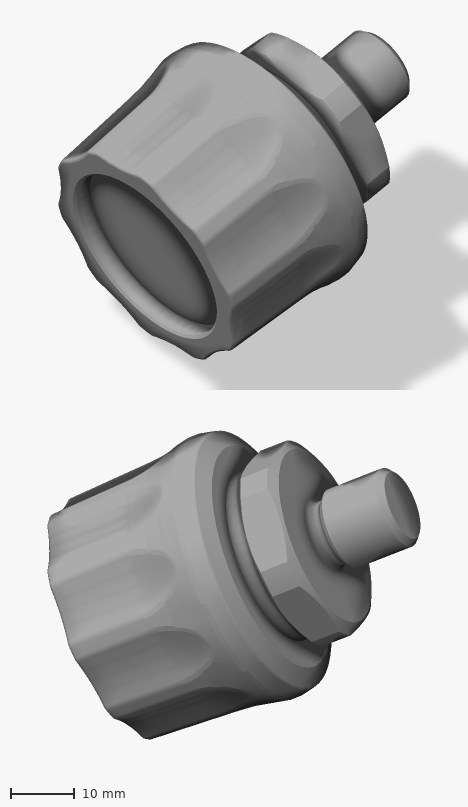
import cadquery as cq
import math


GRIP_FRONT_RADIUS = 20.0
GRIP_TAPER = 3.0
GRIP_LENGTH = 18.4
RIM_CORNER_RADIUS = 22.14
RIM_CORNER_Y = 24.7
RIM_ROUND = 2.4
SHOULDER_RADIUS = 21.5
SHOULDER_Y = 27.85
SHOULDER_ROUND = 0.5
KNOB_REAR_RADIUS = 18.5
KNOB_LENGTH = 29.45
FRONT_EDGE_ROUND = 0.5
GRIP_REAR_RADIUS = GRIP_FRONT_RADIUS + GRIP_LENGTH * math.tan(math.radians(GRIP_TAPER))

RECESS_RADIUS = 15.4
RECESS_DEPTH = 3.3
RECESS_CHAMFER = 0.4

SCALLOP_COUNT = 10
SCALLOP_BEND_Y = 13.9
SCALLOP_FLOOR_RADIUS = 19.45
SCALLOP_DRAFT = 2.5
SCALLOP_TROUGH_RADIUS = 20.0
SCALLOP_RUNOUT_RADIUS = 19.7
SCALLOP_RUNOUT_ANGLE = 45.0
SCALLOP_CUT_HEIGHT = 5.0
SCALLOP_EDGE_ROUND = 2.0

CUT_MARGIN = 5.0

COLLAR_RADIUS = 28.2 / 2
HEX_FRONT_Y = 32.15
HEX_REAR_Y = 39.2
HEX_ACROSS_FLATS = 30.0
HEX_CORNER_RADIUS = 16.2
HEX_CHAMFER_LENGTH = 1.1
HEX_CHAMFER_WIDTH = 1.75
NECK_RADIUS = 10.7 / 2
NECK_ROUND = 1.0
THREAD_RADIUS = 13.16 / 2
THREAD_FRONT_Y = 42.45
THREAD_CHAMFER = 1.0
STEM_END_Y = 53.2


def turned(points):
    """Revolve a closed outline of (radius, y) points about the Y axis."""
    return cq.Workplane("XY").polyline(points).close().revolve(360, (0, 0, 0), (0, 1, 0))


def circle_edges(body, y, radius):
    """Select the round edges of a turned body that have this radius and lie at this y."""
    tolerance = 0.01
    box = cq.selectors.BoxSelector(
        (-radius - tolerance, y - tolerance, -radius - tolerance),
        (radius + tolerance, y + tolerance, radius + tolerance),
        boundingbox=True,
    )
    return body.edges(box).edges("%CIRCLE")


def knob_blank():
    blank = turned([
        (0, 0),
        (GRIP_FRONT_RADIUS, 0),
        (GRIP_REAR_RADIUS, GRIP_LENGTH),
        (RIM_CORNER_RADIUS, RIM_CORNER_Y),
        (SHOULDER_RADIUS, SHOULDER_Y),
        (KNOB_REAR_RADIUS, KNOB_LENGTH),
        (0, KNOB_LENGTH),
    ])
    blank = circle_edges(blank, RIM_CORNER_Y, RIM_CORNER_RADIUS).fillet(RIM_ROUND)
    return circle_edges(blank, SHOULDER_Y, SHOULDER_RADIUS).fillet(SHOULDER_ROUND)


def trough_outline():
    """Cross-section of a scallop, with the middle of its floor at the origin."""
    height_to_centre = SCALLOP_TROUGH_RADIUS - SCALLOP_CUT_HEIGHT
    half_width = math.sqrt(SCALLOP_TROUGH_RADIUS**2 - height_to_centre**2)
    return (
        cq.Workplane("XZ")
        .moveTo(SCALLOP_CUT_HEIGHT, -half_width)
        .threePointArc((0, 0), (SCALLOP_CUT_HEIGHT, half_width))
        .close()
    )


def scallop_cutter():
    """Cutter for the scallop on the +X side of the grip."""
    straight = trough_outline().extrude(SCALLOP_BEND_Y + CUT_MARGIN)
    runout = trough_outline().revolve(
        SCALLOP_RUNOUT_ANGLE, (SCALLOP_RUNOUT_RADIUS, 1, 0), (SCALLOP_RUNOUT_RADIUS, 0, 0)
    )
    cutter = straight.union(runout)
    cutter = cutter.rotate((0, 0, 0), (0, 0, 1), -SCALLOP_DRAFT)
    return cutter.translate((SCALLOP_FLOOR_RADIUS, SCALLOP_BEND_Y, 0))


def knob_sector():
    """One scallop pitch of the knob, with the scallop in its middle on the +X side."""
    sector = knob_blank().rotate((0, 0, 0), (0, 1, 0), 180).cut(scallop_cutter())
    scallop_zone = cq.selectors.BoxSelector(
        (0, FRONT_EDGE_ROUND, -RIM_CORNER_RADIUS),
        (RIM_CORNER_RADIUS, RIM_CORNER_Y, RIM_CORNER_RADIUS),
    )
    sector = sector.edges("%BSPLINE").edges(scallop_zone).fillet(SCALLOP_EDGE_ROUND)
    sector = sector.faces("<Y").edges().fillet(FRONT_EDGE_ROUND)
    sector = sector.cut(cq.Workplane("XZ").circle(RECESS_RADIUS).extrude(-RECESS_DEPTH))
    sector = circle_edges(sector, 0, RECESS_RADIUS).chamfer(RECESS_CHAMFER)
    reach = RIM_CORNER_RADIUS + CUT_MARGIN
    half_pitch = math.pi / SCALLOP_COUNT
    wedge_half_width = reach * math.tan(half_pitch)
    wedge = (
        cq.Workplane("XZ")
        .polyline([(0, 0), (reach, -wedge_half_width), (reach, wedge_half_width)])
        .close()
        .extrude(-KNOB_LENGTH)
    )
    return sector.intersect(wedge)


def make_knob():
    sector = knob_sector()
    flat_across_axis = sector.faces("|Y").vals()
    curved = sector.faces("not %PLANE").vals()
    pitch = 360 / SCALLOP_COUNT
    skin = []
    for i in range(SCALLOP_COUNT):
        skin += [face.rotate((0, 0, 0), (0, 1, 0), i * pitch) for face in flat_across_axis + curved]
    return cq.Workplane(cq.Solid.makeSolid(cq.Shell.makeShell(skin)).clean())


def make_stem():
    turned_stem = turned([
        (0, KNOB_LENGTH),
        (COLLAR_RADIUS, KNOB_LENGTH),
        (COLLAR_RADIUS, HEX_FRONT_Y),
        (HEX_CORNER_RADIUS - HEX_CHAMFER_WIDTH, HEX_FRONT_Y),
        (HEX_CORNER_RADIUS, HEX_FRONT_Y + HEX_CHAMFER_LENGTH),
        (HEX_CORNER_RADIUS, HEX_REAR_Y - HEX_CHAMFER_LENGTH),
        (HEX_CORNER_RADIUS - HEX_CHAMFER_WIDTH, HEX_REAR_Y),
        (NECK_RADIUS, HEX_REAR_Y),
        (NECK_RADIUS, THREAD_FRONT_Y - (THREAD_RADIUS - NECK_RADIUS)),
        (THREAD_RADIUS, THREAD_FRONT_Y),
        (THREAD_RADIUS, STEM_END_Y - THREAD_CHAMFER),
        (THREAD_RADIUS - THREAD_CHAMFER, STEM_END_Y),
        (0, STEM_END_Y),
    ])
    turned_stem = circle_edges(turned_stem, HEX_REAR_Y, NECK_RADIUS).fillet(NECK_ROUND)
    across_corners = HEX_ACROSS_FLATS / math.cos(math.pi / 6)
    hex_bar = (
        cq.Workplane("XZ", origin=(0, KNOB_LENGTH, 0))
        .polygon(6, across_corners)
        .extrude(KNOB_LENGTH - STEM_END_Y)
    )
    return turned_stem.intersect(hex_bar)


knob = make_knob()
stem = make_stem()
result = cq.Compound.makeCompound([knob.val(), stem.val()])